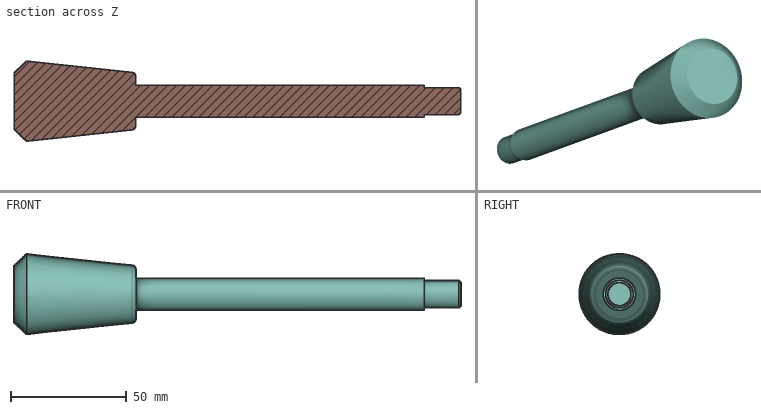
import cadquery as cq

KNOB_LENGTH = 53.0
END_FACE_DIAMETER = 24.5
KNOB_MAX_DIAMETER = 35.0
END_BEVEL_LENGTH = 5.5
KNOB_NECK_DIAMETER = 24.8
NECK_ROUND_RADIUS = 2.0

ROD_DIAMETER = 14.0
ROD_LENGTH = 125.0
TIP_DIAMETER = 12.0
TIP_LENGTH = 16.0
TIP_CHAMFER = 1.0


def make_knob():
    """Tapered handle knob, bevelled at its wide end and rounded at its neck."""
    body = (
        cq.Workplane("XY")
        .moveTo(0, 0)
        .lineTo(0, END_FACE_DIAMETER / 2)
        .lineTo(END_BEVEL_LENGTH, KNOB_MAX_DIAMETER / 2)
        .lineTo(KNOB_LENGTH, KNOB_NECK_DIAMETER / 2)
        .lineTo(KNOB_LENGTH, 0)
        .close()
        .revolve(360, (0, 0, 0), (1, 0, 0))
    )
    return body.faces(">X").edges().fillet(NECK_ROUND_RADIUS)


def make_cylinder(start_x, diameter, length):
    """Solid cylinder along +X starting at start_x."""
    return cq.Workplane("YZ", origin=(start_x, 0, 0)).circle(diameter / 2).extrude(length)


def make_rod():
    """Rod behind the knob, stepped down to a chamfered tip."""
    rod = make_cylinder(KNOB_LENGTH, ROD_DIAMETER, ROD_LENGTH)
    tip = make_cylinder(KNOB_LENGTH + ROD_LENGTH, TIP_DIAMETER, TIP_LENGTH)
    tip = tip.faces(">X").edges().chamfer(TIP_CHAMFER)
    return rod.union(tip)


result = make_knob().union(make_rod())